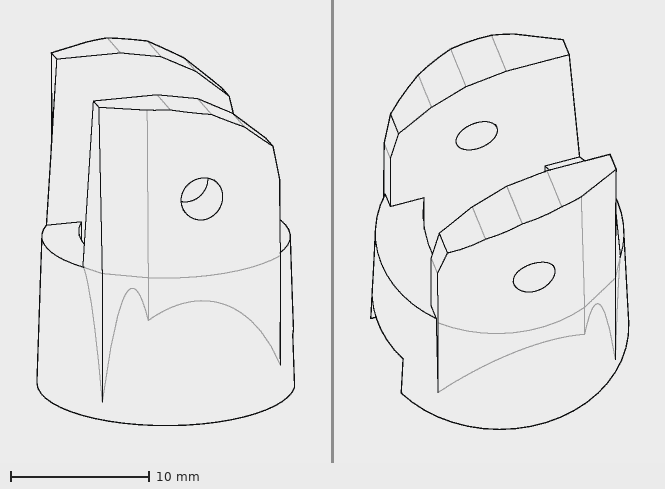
import cadquery as cq

total_height = 23.87
collar_height = 11.22
arm_height = total_height - collar_height

collar_bottom_radius = 9.345
collar_top_radius = 8.987

half_gap = 4.73
opening_back_corner = 4.2
opening_back_middle = 5.23
opening_front_corner = -5.0
opening_front_middle = -6.15

slot_width = 7.07
slot_height = 4.05

arm_back = 6.75
pivot_radius = 1.58
pivot_y = 0.2
pivot_z = 17.02

root_section = [(6.33, arm_back), (9.05, 0), (8.28, -3.75), (6.47, -6.68), (half_gap, -7.65)]
tip_section = [(6.05, arm_back), (8.33, 0), (7.73, -3.68), (6.15, -6.85), (half_gap, -6.85)]

roof_facets = [(arm_back, pivot_z), (6.13, 19.75), (3.63, 21.9), (1.0, 23.27), (-2.05, total_height)]


def draw_arm_section(plane, section):
    """Closed outline of one arm on the given workplane."""
    back_corner, crown, arc_end, flat_corner, inner_corner = section
    return (
        plane.moveTo(half_gap, arm_back)
        .lineTo(*back_corner)
        .threePointArc(crown, arc_end)
        .lineTo(*flat_corner)
        .lineTo(*inner_corner)
        .close()
    )


def make_collar():
    """Solid tapered collar."""
    return (
        cq.Workplane("XY")
        .circle(collar_bottom_radius)
        .workplane(offset=collar_height)
        .circle(collar_top_radius)
        .loft(ruled=True)
    )


def make_arm():
    """Right arm: straight root within the collar and a tapered blade above it."""
    root = draw_arm_section(cq.Workplane("XY"), root_section).extrude(collar_height)
    blade_base = draw_arm_section(cq.Workplane("XY", origin=(0, 0, collar_height)), root_section)
    blade_plane = blade_base.workplane(offset=arm_height)
    blade = draw_arm_section(blade_plane, tip_section).loft(ruled=True)
    return root.union(blade.cut(make_roof_cutter()))


def make_roof_cutter():
    """Material above the faceted roof at the back of the arms."""
    return (
        cq.Workplane("YZ")
        .polyline(roof_facets + [(arm_back, total_height)])
        .close()
        .extrude(collar_bottom_radius)
    )


def make_opening():
    """Vertical passage through the collar."""
    return (
        cq.Workplane("XY")
        .moveTo(-half_gap, opening_back_corner)
        .threePointArc((0, opening_back_middle), (half_gap, opening_back_corner))
        .lineTo(half_gap, opening_front_corner)
        .threePointArc((0, opening_front_middle), (-half_gap, opening_front_corner))
        .close()
        .extrude(collar_height)
    )


def make_slot():
    """Slot from the opening out through the back of the collar."""
    return cq.Workplane("XY").box(
        slot_width, collar_bottom_radius, slot_height, centered=(True, False, False)
    )


def make_pivot():
    """Pivot hole through both arms."""
    return (
        cq.Workplane("YZ")
        .center(pivot_y, pivot_z)
        .circle(pivot_radius)
        .extrude(collar_bottom_radius, both=True)
    )


arm = make_arm()
body = make_collar().union(arm).union(arm.mirror("YZ"))
result = body.cut(make_opening()).cut(make_slot()).cut(make_pivot())